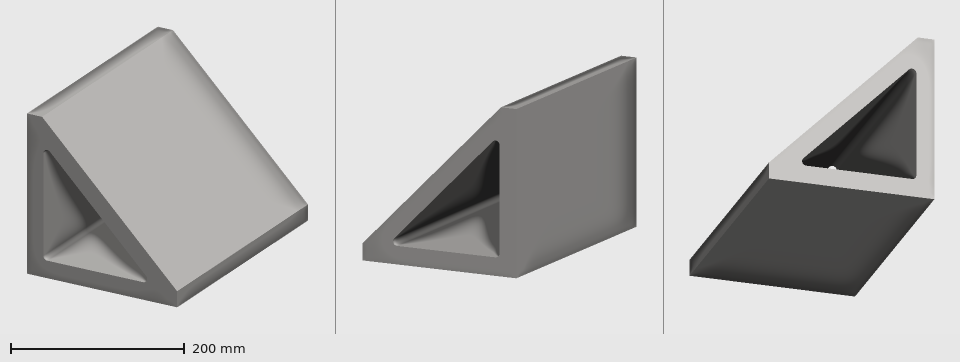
import cadquery as cq
import math

length = 300.0
leg = 200.0
land = 20.0
wall = 22.0
corner_radius = 5.0

outline = [
    (0, 0),
    (leg, 0),
    (leg, land),
    (land, leg),
    (0, leg),
]
body = cq.Workplane("XZ").polyline(outline).close().extrude(length)

inner_slope_sum = leg + land - wall * math.sqrt(2)
inner_tip = inner_slope_sum - wall
opening_outline = [
    (wall, wall),
    (inner_tip, wall),
    (wall, inner_tip),
]
opening = (
    cq.Workplane("XZ")
    .polyline(opening_outline)
    .close()
    .extrude(length)
    .edges("|Y")
    .fillet(corner_radius)
)

result = body.cut(opening)